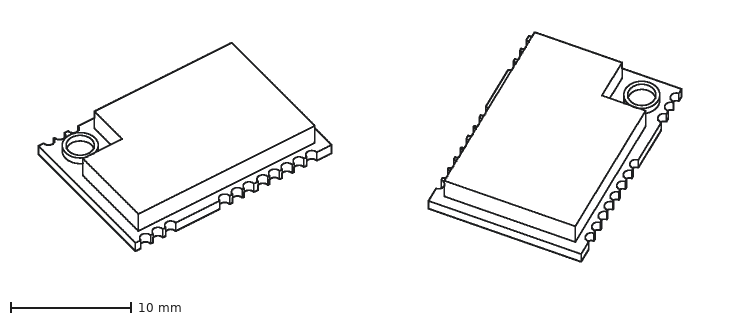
import cadquery as cq

board_width = 14.0
board_length = 20.0
board_thickness = 1.0

contact_diameter = 1.0
left_contacts = (2.02, 3.32, 4.62, 5.82, 7.0, 8.3, 9.6, 10.9, 16.45, 17.85, 18.95)
right_contacts = (2.02, 3.32, 4.55, 5.82, 7.0, 8.42, 9.6, 10.9, 16.4, 17.7, 18.95)

shield_margin = 1.0
shield_height = 2.0
shield_cutout = 4.0

socket_diameter = 3.0
socket_bore = 2.35
socket_height = 0.65

left_edge = -board_width / 2
front_edge = -board_length / 2
back_edge = board_length / 2


def make_board():
    left_centres = [(left_edge, back_edge - distance) for distance in left_contacts]
    right_centres = [(-left_edge, back_edge - distance) for distance in right_contacts]
    board = cq.Workplane("XY").rect(board_width, board_length).extrude(board_thickness)
    contacts = (
        cq.Workplane("XY")
        .pushPoints(left_centres + right_centres)
        .circle(contact_diameter / 2)
        .extrude(board_thickness)
    )
    return board.cut(contacts)


def make_shield():
    left = left_edge + shield_margin
    front = front_edge + shield_margin
    return (
        cq.Workplane("XY", origin=(0, 0, board_thickness))
        .moveTo(left, front + shield_cutout)
        .lineTo(left + shield_cutout, front + shield_cutout)
        .lineTo(left + shield_cutout, front)
        .lineTo(-left, front)
        .lineTo(-left, -front)
        .lineTo(left, -front)
        .close()
        .extrude(shield_height)
    )


def make_socket():
    centre_offset = shield_margin + socket_diameter / 2
    centre = (left_edge + centre_offset, front_edge + centre_offset, board_thickness)
    return (
        cq.Workplane("XY", origin=centre)
        .circle(socket_diameter / 2)
        .circle(socket_bore / 2)
        .extrude(socket_height)
    )


result = make_board().union(make_shield()).union(make_socket())